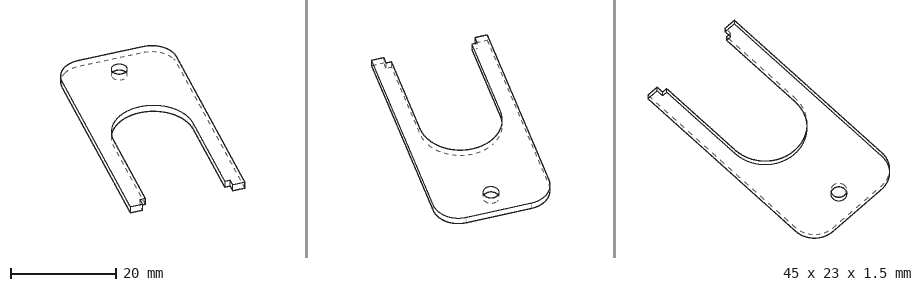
import cadquery as cq

length = 45.0
width = 23.0
thickness = 1.5
corner_radius = 5.0

hole_diameter = 3.0
hole_x = corner_radius

slot_width = 15.95
slot_radius = slot_width / 2
slot_start = 17.0
slot_center_x = slot_start + slot_radius

tip_step_length = 1.5
tip_opening = 18.1


def rounded_plate():
    plate = cq.Workplane("XY").box(length, width, thickness, centered=(False, True, False))
    return plate.edges("|Z and <X").fillet(corner_radius)


def open_slot():
    return (
        cq.Workplane("XY")
        .moveTo(length, -slot_radius)
        .lineTo(slot_center_x, -slot_radius)
        .threePointArc((slot_start, 0), (slot_center_x, slot_radius))
        .lineTo(length, slot_radius)
        .close()
        .extrude(thickness)
    )


def tip_steps():
    return (
        cq.Workplane("XY")
        .box(tip_step_length, tip_opening, thickness, centered=(False, True, False))
        .translate((length - tip_step_length, 0, 0))
    )


def hanging_hole():
    return cq.Workplane("XY").center(hole_x, 0).circle(hole_diameter / 2).extrude(thickness)


result = rounded_plate().cut(open_slot()).cut(tip_steps()).cut(hanging_hole())